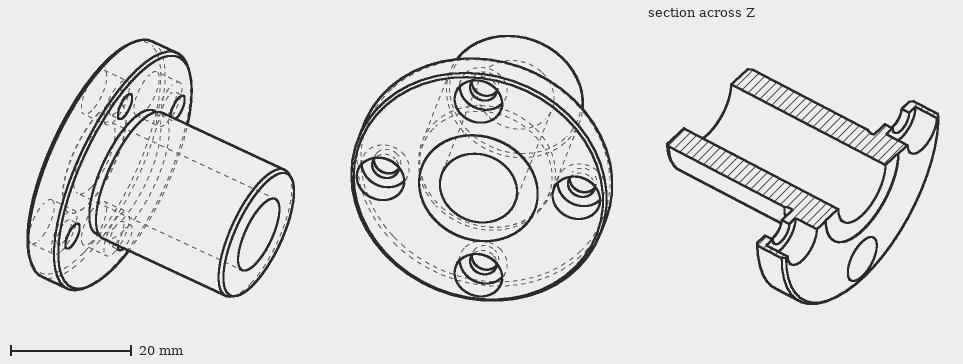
import cadquery as cq

length = 32.0
flange_diameter = 43.0
flange_thickness = 6.0
flange_chamfer = 0.5
body_diameter = 23.0
body_chamfer_length = 0.7
body_chamfer_depth = 0.4
bore_diameter = 13.0

recess_diameter = 20.0
recess_depth = 0.1

neck_diameter = 22.5
groove_diameter = 22.4
neck_length = 1.45

hole_count = 4
hole_circle_diameter = 33.0
hole_diameter = 4.5
counterbore_diameter = 8.0
counterbore_depth = 4.4


def bushing_blank():
    """Revolve the flange, neck and body around the open bore."""
    bore_radius = bore_diameter / 2
    recess_radius = recess_diameter / 2
    flange_radius = flange_diameter / 2
    neck_radius = neck_diameter / 2
    body_radius = body_diameter / 2
    groove_bottom = (flange_thickness + neck_length / 2, groove_diameter / 2)
    profile = (
        cq.Workplane("XY")
        .moveTo(recess_depth, bore_radius)
        .lineTo(recess_depth, recess_radius)
        .lineTo(0, recess_radius)
        .lineTo(0, flange_radius - flange_chamfer)
        .lineTo(flange_chamfer, flange_radius)
        .lineTo(flange_thickness - flange_chamfer, flange_radius)
        .lineTo(flange_thickness, flange_radius - flange_chamfer)
        .lineTo(flange_thickness, neck_radius)
        .threePointArc(groove_bottom, (flange_thickness + neck_length, body_radius))
        .lineTo(length - body_chamfer_length, body_radius)
        .lineTo(length, body_radius - body_chamfer_depth)
        .lineTo(length, bore_radius)
        .close()
    )
    return profile.revolve(360, (0, 0, 0), (1, 0, 0))


def mounting_holes():
    """Stepped cutters for the holes, wide end at the flange face."""
    centers = cq.Workplane("YZ").polarArray(hole_circle_diameter / 2, 0, 360, hole_count)
    through_holes = centers.circle(hole_diameter / 2).extrude(flange_thickness)
    counterbores = centers.circle(counterbore_diameter / 2).extrude(counterbore_depth)
    return through_holes.union(counterbores)


result = bushing_blank().cut(mounting_holes())